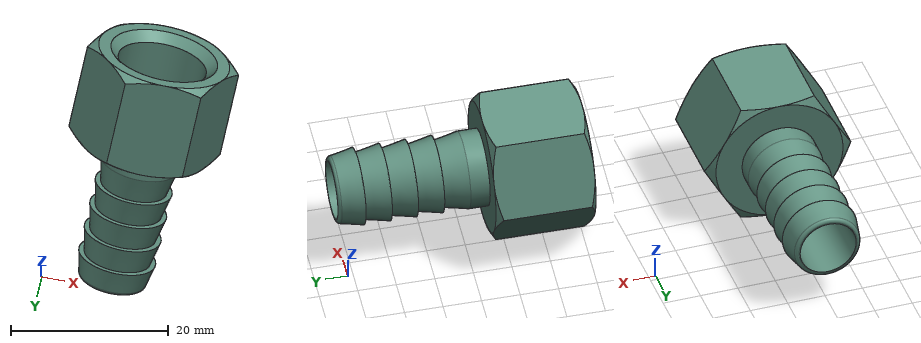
import cadquery as cq
import math

hex_sides = 6
hex_across_flats = 17.0
hex_length = 13.0
hex_chamfer_angle = 30.0

collar_length = 2.5
barb_count = 5
barb_pitch = 3.4
barb_crest_diameter = 10.0
barb_root_diameter = 8.6
tip_round = 0.5

hose_bore_diameter = 7.5
socket_diameter = 11.445
socket_depth = 10.0
socket_mouth_diameter = 13.85
socket_chamfer_angle = 45.0

collar_end = hex_length + collar_length
total_length = collar_end + barb_count * barb_pitch


def revolve_about_y(profile):
    """Close a (radius, y) profile and turn it fully about the Y axis."""
    return profile.close().revolve(360, (0, 0, 0), (0, 1, 0))


def make_hex():
    """Hexagonal prism with points on +X and -X and both ends turned to a cone."""
    flat_radius = hex_across_flats / 2
    corner_radius = flat_radius / math.cos(math.pi / hex_sides)
    chamfer_run = (corner_radius - flat_radius) * math.tan(math.radians(hex_chamfer_angle))
    prism = cq.Workplane("XZ").polygon(hex_sides, 2 * corner_radius).extrude(-hex_length)
    envelope = revolve_about_y(
        cq.Workplane("ZY")
        .moveTo(0, 0)
        .lineTo(flat_radius, 0)
        .lineTo(corner_radius, chamfer_run)
        .lineTo(corner_radius, hex_length - chamfer_run)
        .lineTo(flat_radius, hex_length)
        .lineTo(0, hex_length)
    )
    return prism.intersect(envelope)


def make_hose_tail():
    """Plain collar followed by tapered barbs and a rounded tip."""
    crest_radius = barb_crest_diameter / 2
    root_radius = barb_root_diameter / 2
    profile = cq.Workplane("ZY").moveTo(0, hex_length).lineTo(crest_radius, hex_length)
    for barb in range(barb_count):
        barb_start = collar_end + barb * barb_pitch
        profile = profile.lineTo(crest_radius, barb_start)
        profile = profile.lineTo(root_radius, barb_start + barb_pitch)
    tail = revolve_about_y(profile.lineTo(0, total_length))
    return tail.faces(">Y").edges().fillet(tip_round)


def make_bore():
    """Hose bore, wider socket in the hexagon and its chamfered mouth."""
    bore_radius = hose_bore_diameter / 2
    socket_radius = socket_diameter / 2
    mouth_radius = socket_mouth_diameter / 2
    chamfer_depth = (mouth_radius - socket_radius) / math.tan(math.radians(socket_chamfer_angle))
    return revolve_about_y(
        cq.Workplane("ZY")
        .moveTo(0, 0)
        .lineTo(mouth_radius, 0)
        .lineTo(socket_radius, chamfer_depth)
        .lineTo(socket_radius, socket_depth)
        .lineTo(bore_radius, socket_depth)
        .lineTo(bore_radius, total_length)
        .lineTo(0, total_length)
    )


result = make_hex().union(make_hose_tail()).cut(make_bore())